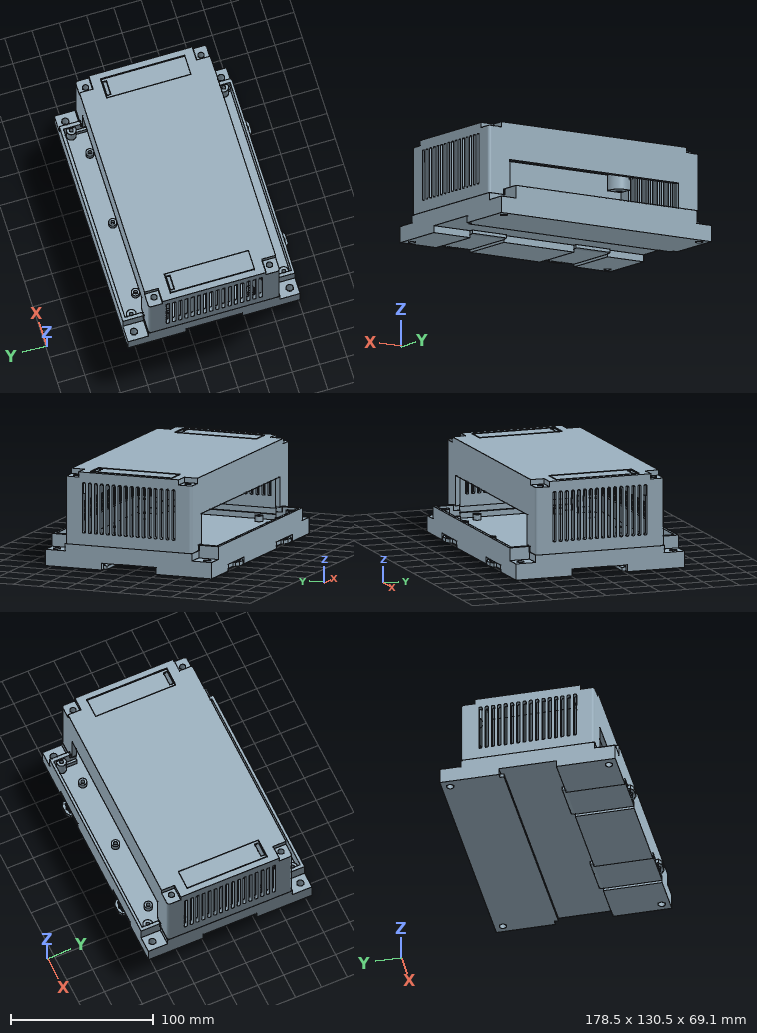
import cadquery as cq


LENGTH = 178.5
BASE_WIDTH = 126.5
COVER_WIDTH = 96.0
SEAT_WIDTH = 96.5
HEIGHT = 69.1
BASE_SHIFT = 0.2
BASE_FRONT = BASE_SHIFT - BASE_WIDTH / 2
WALL = 3.2

RAIL_TOP = 5.0
FLOOR_TOP = 9.0
FLANGE_TOP = 11.8
BOARD_LEVEL = 12.9
COVER_SEAT = 17.0
TRAY_TOP = 20.9

FLANGE_LENGTH = 12.3
TRAY_LENGTH = LENGTH - 2 * FLANGE_LENGTH
TRAY_END_WALL = 2.7
POCKET_LENGTH = TRAY_LENGTH - 2 * TRAY_END_WALL
POCKET_WIDTH = 122.1
TRAY_GAP = 0.4
BOARD_LEDGE = 1.8
MIDDLE_WIDTH = 87.9
TONGUE_INSET = 0.5
FLANGE_HOLE_DIAMETER = 5.0
FLANGE_HOLE_X = 83.0
FLANGE_HOLE_Y = 57.1

STANDOFF_DIAMETER = 5.7
SCREW_HOLE_DIAMETER = 2.7
SIDE_STANDOFF_PITCH = 55.2
SIDE_STANDOFF_Y = 47.5
END_STANDOFF_X = 76.5
END_STANDOFF_Y = 30.2
BOSS_DIAMETER = 7.0
BOSS_TOP = 19.1
BOSS_X = 72.7
BOSS_Y = 55.9

CHANNEL_WIDTH = 41.5
RAIL_GRIP_WIDTH = 35.7
HOOK_REACH = (CHANNEL_WIDTH - RAIL_GRIP_WIDTH) / 2
HOOK_TIP_Z = 2.5
HOOK_ROOT_Z = 3.2
HOOK_END_INSET = 3.5
CLIP_WIDTH = 28.8
CLIP_X = 44.1
CLIP_BOTTOM = 2.0
CLIP_NOSE_RISE = 0.7
TAB_HALF_WIDTH = 6.3
TAB_REACH = 4.0
TAB_FLAT_HALF_WIDTH = 3.2
TAB_SIDE = 2.0
TAB_OPENING_HALF_WIDTH = 4.3
TAB_OPENING_DEPTH = 1.3
TAB_VEE_HALF_WIDTH = 2.3
TAB_VEE_DEPTH = 2.5

ROOF = 4.5
CORNER_RADIUS = 2.0
WINDOW_LENGTH = 143.5
WINDOW_TOP = 42.7
CORNER_NOTCH_X = 10.5
CORNER_NOTCH_Y = 10.0
CORNER_NOTCH_DEPTH = 3.8
COVER_SCREW_X = 82.9
COVER_SCREW_Y = 42.3
COVER_SCREW_DIAMETER = 4.3
PILLAR_RADIUS = 8.5
PILLAR_BOTTOM = 53.4
VENT_COUNT = 16
VENT_ROW_LENGTH = 68.0
VENT_PITCH = VENT_ROW_LENGTH / (VENT_COUNT - 1)
VENT_WIDTH = 2.3
VENT_BOTTOM = 25.5
VENT_TOP = 61.6

LID_OPENING_X = 77.1
LID_OPENING_WIDTH = 15.0
LID_LENGTH = 61.8
LID_GAP = 0.5
LID_RECESS = 0.4
LID_NOTCH_WIDTH = 10.7
LID_NOTCH_DEPTH = 2.9
LID_LAND = 0.5


def block(length, width, bottom, top):
    """A box centred on the Z axis between two levels."""
    return cq.Workplane("XY").workplane(offset=bottom).rect(length, width).extrude(top - bottom)


def four_corners(x, y):
    return [(x, y), (x, -y), (-x, y), (-x, -y)]


def cylinders(points, diameter, bottom, top):
    """Upright cylinders between two levels."""
    plane = cq.Workplane("XY").workplane(offset=bottom)
    return plane.pushPoints(points).circle(diameter / 2).extrude(top - bottom)


def along_x(profile, length):
    """A prism along X, centred on x = 0, from a list of (y, z) points."""
    return cq.Workplane("YZ").polyline(profile).close().extrude(length / 2, both=True)


def base_cavity():
    """The pocket along both sides joined to the wider one under the cover, with a ledge at the ends."""
    cavity = cq.Workplane("XY")
    inner_length = LENGTH - 2 * WALL
    for length, width in [(POCKET_LENGTH, POCKET_WIDTH), (inner_length, MIDDLE_WIDTH)]:
        cavity = cavity.union(block(length - 2 * BOARD_LEDGE, width, FLOOR_TOP, BOARD_LEVEL))
        cavity = cavity.union(block(length, width, BOARD_LEVEL, TRAY_TOP))
    return cavity


def base_standoffs():
    side_points = [
        (column * SIDE_STANDOFF_PITCH, side * SIDE_STANDOFF_Y) for column in (-1, 0, 1) for side in (-1, 1)
    ]
    standoff_points = side_points + four_corners(END_STANDOFF_X, END_STANDOFF_Y)
    boss_points = four_corners(BOSS_X, BOSS_Y)
    standoffs = cylinders(standoff_points, STANDOFF_DIAMETER, FLOOR_TOP, BOARD_LEVEL)
    bosses = cylinders(boss_points, BOSS_DIAMETER, FLOOR_TOP, BOSS_TOP)
    holes = cylinders(standoff_points + boss_points, SCREW_HOLE_DIAMETER, FLOOR_TOP, TRAY_TOP)
    return standoffs.union(bosses), holes


def cover_clearance():
    """The gap for the cover across the tray, leaving a thin tongue in the middle of each end wall."""
    clearance_width = SEAT_WIDTH + 2 * TRAY_GAP
    tongue_outer = TRAY_LENGTH - 2 * TONGUE_INSET
    tongue_inner = POCKET_LENGTH + 2 * TONGUE_INSET
    tongues = block(tongue_outer, clearance_width, COVER_SEAT, TRAY_TOP).cut(
        block(tongue_inner, clearance_width, COVER_SEAT, TRAY_TOP)
    )
    return block(LENGTH, clearance_width, COVER_SEAT, TRAY_TOP).cut(tongues)


def fixed_hook():
    """The lip on the +Y wall of the channel that grips the rail."""
    root = CHANNEL_WIDTH / 2
    tip = root - HOOK_REACH
    profile = [(root, 0), (tip, 0), (tip, HOOK_TIP_Z), (root, HOOK_ROOT_Z)]
    return along_x(profile, LENGTH - 2 * HOOK_END_INSET)


def clip_slot(x):
    channel_side = -CHANNEL_WIDTH / 2
    length = channel_side - BASE_FRONT
    middle = (channel_side + BASE_FRONT) / 2
    return block(CLIP_WIDTH, length, 0, RAIL_TOP).translate((x, middle, 0))


def make_base():
    body = block(LENGTH, BASE_WIDTH, 0, FLANGE_TOP)
    body = body.union(block(TRAY_LENGTH, BASE_WIDTH, FLANGE_TOP, TRAY_TOP)).translate((0, BASE_SHIFT, 0))
    body = body.union(block(LENGTH, SEAT_WIDTH, FLANGE_TOP, COVER_SEAT))
    body = body.cut(cover_clearance())
    standoffs, holes = base_standoffs()
    body = body.cut(base_cavity()).union(standoffs).cut(holes)
    flange_points = four_corners(FLANGE_HOLE_X, FLANGE_HOLE_Y)
    body = body.cut(cylinders(flange_points, FLANGE_HOLE_DIAMETER, 0, FLANGE_TOP))
    body = body.cut(block(LENGTH, CHANNEL_WIDTH, 0, RAIL_TOP)).union(fixed_hook())
    for side in (-1, 1):
        body = body.cut(clip_slot(side * CLIP_X))
    return body


def make_clip(x):
    """A slider with a rail nose at its inner end and a pull tab at its outer end."""
    outer = BASE_FRONT
    root = -CHANNEL_WIDTH / 2
    tip = root + HOOK_REACH
    slider = along_x(
        [
            (outer, CLIP_BOTTOM),
            (root, CLIP_BOTTOM),
            (tip, CLIP_BOTTOM + CLIP_NOSE_RISE),
            (tip, RAIL_TOP),
            (outer, RAIL_TOP),
        ],
        CLIP_WIDTH,
    )
    tab_plane = cq.Workplane("XY", origin=(0, outer, CLIP_BOTTOM))
    thickness = RAIL_TOP - CLIP_BOTTOM
    tab = (
        tab_plane.moveTo(-TAB_HALF_WIDTH, 0)
        .lineTo(-TAB_HALF_WIDTH, -TAB_SIDE)
        .lineTo(-TAB_FLAT_HALF_WIDTH, -TAB_REACH)
        .lineTo(TAB_FLAT_HALF_WIDTH, -TAB_REACH)
        .lineTo(TAB_HALF_WIDTH, -TAB_SIDE)
        .lineTo(TAB_HALF_WIDTH, 0)
        .close()
        .extrude(thickness)
    )
    opening = (
        tab_plane.moveTo(-TAB_OPENING_HALF_WIDTH, 0)
        .lineTo(-TAB_OPENING_HALF_WIDTH, -TAB_OPENING_DEPTH)
        .lineTo(-TAB_VEE_HALF_WIDTH, -TAB_OPENING_DEPTH)
        .lineTo(0, -TAB_VEE_DEPTH)
        .lineTo(TAB_VEE_HALF_WIDTH, -TAB_OPENING_DEPTH)
        .lineTo(TAB_OPENING_HALF_WIDTH, -TAB_OPENING_DEPTH)
        .lineTo(TAB_OPENING_HALF_WIDTH, 0)
        .close()
        .extrude(thickness)
    )
    return slider.union(tab.cut(opening)).translate((x, 0, 0))


def vents():
    """The row of upright slots through both end walls."""
    rows = cq.Workplane("YZ", origin=(0, 0, (VENT_BOTTOM + VENT_TOP) / 2))
    return (
        rows.rarray(VENT_PITCH, 1.8, VENT_COUNT, 1)
        .slot2D(VENT_TOP - VENT_BOTTOM, VENT_WIDTH, 90)
        .extrude(LENGTH / 2, both=True)
    )


def make_cover():
    outside = block(LENGTH, COVER_WIDTH, COVER_SEAT, HEIGHT).edges("|Z").fillet(CORNER_RADIUS)
    screw_points = four_corners(COVER_SCREW_X, COVER_SCREW_Y)
    pillars = cylinders(screw_points, 2 * PILLAR_RADIUS, PILLAR_BOTTOM, HEIGHT).intersect(outside)
    body = outside.cut(block(LENGTH - 2 * WALL, COVER_WIDTH - 2 * WALL, COVER_SEAT, HEIGHT - ROOF))
    body = body.cut(block(WINDOW_LENGTH, COVER_WIDTH, COVER_SEAT, WINDOW_TOP))
    body = body.cut(block(TRAY_LENGTH, COVER_WIDTH, COVER_SEAT, TRAY_TOP))
    body = body.cut(vents()).union(pillars)
    notch = block(2 * CORNER_NOTCH_X, 2 * CORNER_NOTCH_Y, HEIGHT - CORNER_NOTCH_DEPTH, HEIGHT)
    for x, y in four_corners(LENGTH / 2, COVER_WIDTH / 2):
        body = body.cut(notch.translate((x, y, 0)))
    body = body.cut(cylinders(screw_points, COVER_SCREW_DIAMETER, PILLAR_BOTTOM, HEIGHT))
    for side in (-1, 1):
        opening = block(LID_OPENING_WIDTH, LID_LENGTH, HEIGHT - ROOF, HEIGHT)
        body = body.cut(opening.translate((side * LID_OPENING_X, 0, 0)))
    return body


def make_lid(side):
    """A sunken lid with a sloped lip at its +Y end and a finger notch in front of the lip."""
    end = LID_LENGTH / 2
    lip_foot = end - LID_RECESS
    top = HEIGHT - LID_RECESS
    bottom = HEIGHT - ROOF
    plate = along_x(
        [(-end, bottom), (end, bottom), (end, HEIGHT), (lip_foot, top), (-end, top)],
        LID_OPENING_WIDTH - LID_GAP,
    )
    notch_start = lip_foot - LID_LAND
    notch_wall = notch_start - LID_NOTCH_DEPTH
    notch_profile = [(notch_start, top), (notch_wall, top), (notch_wall, top - LID_NOTCH_DEPTH)]
    notch = along_x(notch_profile, LID_NOTCH_WIDTH)
    return plate.cut(notch).translate((side * (LID_OPENING_X - LID_GAP / 2), 0, 0))


base = make_base()
cover = make_cover()
clips = [make_clip(side * CLIP_X) for side in (-1, 1)]
lids = [make_lid(side) for side in (-1, 1)]

result = cq.Compound.makeCompound(
    [
        base.val(),
        cover.val(),
        *[clip.val() for clip in clips],
        *[lid.val() for lid in lids],
    ]
)